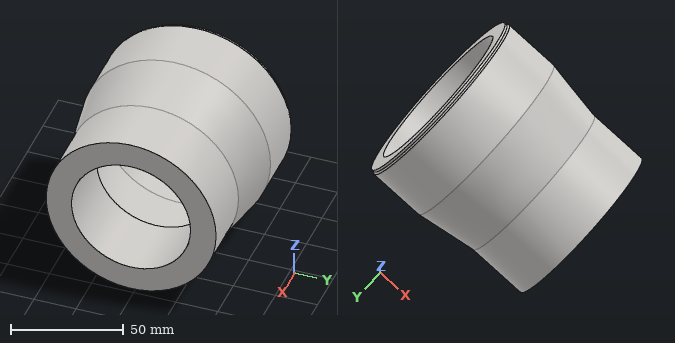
import cadquery as cq

total_length = 86.5
section_length = total_length / 3

socket_outer_diameter = 90.0
socket_bore_diameter = 72.2
spigot_outer_diameter = 80.8
spigot_bore_diameter = 56.5
taper_bore_end_diameter = 63.0

rim_diameter = 88.33
rim_end = 2.0
rim_chamfer = (socket_outer_diameter - rim_diameter) / 2
rim_length = rim_end - rim_chamfer

taper_start = section_length
taper_end = 2 * section_length

bore_taper_start = 25.4
bore_taper_end = bore_taper_start + section_length


def make_outer_body():
    """Solid of revolution: stepped rim, socket, taper and spigot."""
    profile = (
        cq.Workplane("XY")
        .moveTo(0, 0)
        .lineTo(0, rim_diameter / 2)
        .lineTo(rim_length, rim_diameter / 2)
        .lineTo(rim_end, socket_outer_diameter / 2)
        .lineTo(taper_start, socket_outer_diameter / 2)
        .lineTo(taper_end, spigot_outer_diameter / 2)
        .lineTo(total_length, spigot_outer_diameter / 2)
        .lineTo(total_length, 0)
        .close()
    )
    return profile.revolve(360, (0, 0, 0), (1, 0, 0))


def make_bore():
    """Through bore: straight socket, taper, then a shoulder down to the spigot bore."""
    profile = (
        cq.Workplane("XY")
        .moveTo(0, 0)
        .lineTo(0, socket_bore_diameter / 2)
        .lineTo(bore_taper_start, socket_bore_diameter / 2)
        .lineTo(bore_taper_end, taper_bore_end_diameter / 2)
        .lineTo(bore_taper_end, spigot_bore_diameter / 2)
        .lineTo(total_length, spigot_bore_diameter / 2)
        .lineTo(total_length, 0)
        .close()
    )
    return profile.revolve(360, (0, 0, 0), (1, 0, 0))


result = make_outer_body().cut(make_bore())